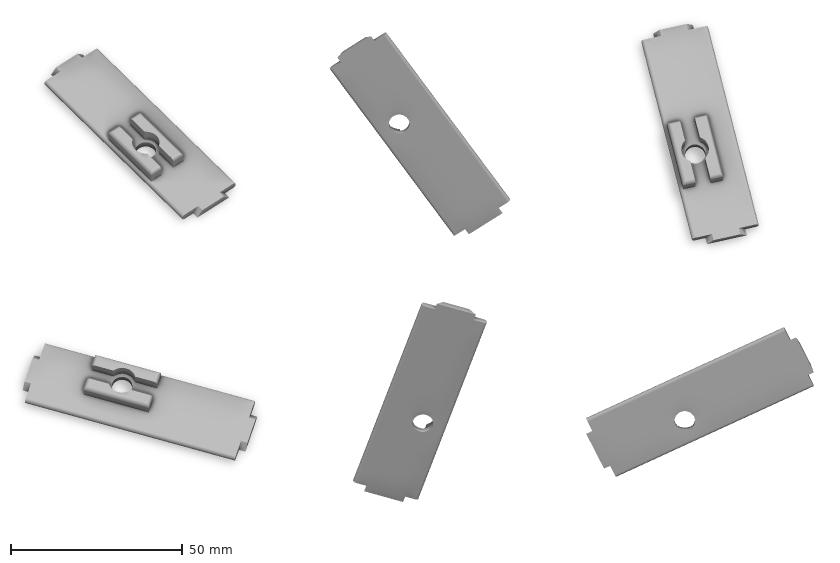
import cadquery as cq

total_length = 68.0
total_height = 5.7

plate_length = 64.05
plate_width = 20.0
plate_thickness = 2.0
plate_edge_radius = 0.9

tab_bottom_width = 12.0
tab_top_width = tab_bottom_width - 2 * plate_thickness

rail_center_x = 6.4
rail_center_y = -3.0
rail_length = 20.0
rails_outer_width = 12.0
rail_gap = 4.5
rail_edge_radius = 1.0
rail_width = (rails_outer_width - rail_gap) / 2
rail_height = total_height - plate_thickness

hole_diameter = 6.0
clearance_diameter = 8.0


def make_plate():
    plate = cq.Workplane("XY").box(plate_length, plate_width, plate_thickness, centered=(True, True, False))
    return plate.edges("|X").fillet(plate_edge_radius)


def make_tab_bar():
    """Trapezoidal bar running the full length; its ends project as the two tabs."""
    return (
        cq.Workplane("YZ")
        .moveTo(-tab_bottom_width / 2, 0)
        .lineTo(tab_bottom_width / 2, 0)
        .lineTo(tab_top_width / 2, plate_thickness)
        .lineTo(-tab_top_width / 2, plate_thickness)
        .close()
        .extrude(total_length / 2, both=True)
    )


def make_rail(side):
    """Rail on the +Y (side = 1) or -Y (side = -1) of the hole, rounded except along the gap."""
    offset_y = side * (rail_gap + rail_width) / 2
    outer_edge = ">Y" if side > 0 else "<Y"
    rail = (
        cq.Workplane("XY", origin=(rail_center_x, rail_center_y + offset_y, plate_thickness))
        .box(rail_length, rail_width, rail_height, centered=(True, True, False))
    )
    return rail.faces(">Z").edges(f"{outer_edge} or <X or >X").fillet(rail_edge_radius)


def make_cylinder(diameter, bottom_z, top_z):
    """Upright cylinder on the screw axis."""
    return (
        cq.Workplane("XY", origin=(rail_center_x, rail_center_y, bottom_z))
        .circle(diameter / 2)
        .extrude(top_z - bottom_z)
    )


clearance = make_cylinder(clearance_diameter, plate_thickness, total_height)
screw_hole = make_cylinder(hole_diameter, 0, plate_thickness)

result = make_plate().union(make_tab_bar())
for rail_side in (1, -1):
    result = result.union(make_rail(rail_side).cut(clearance))
result = result.cut(screw_hole)